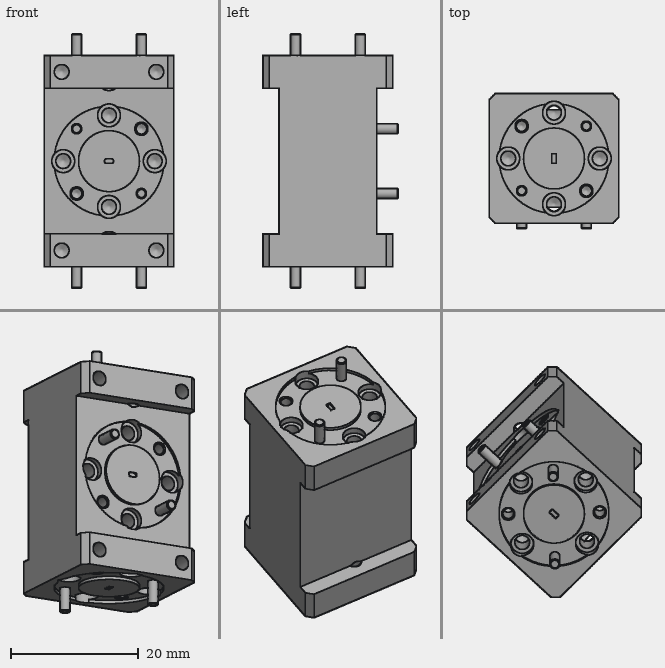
import cadquery as cq
import math

TOTAL_HEIGHT = 39.75
WIDTH = 20.3
PIN_PROTRUSION = 3.35
FLANGE_THICKNESS = 5.15
CORNER_CHAMFER = 1.0
WAIST_DEPTH = 15.3

HOUSING_HEIGHT = TOTAL_HEIGHT - 2 * PIN_PROTRUSION
WAIST_HEIGHT = HOUSING_HEIGHT - 2 * FLANGE_THICKNESS

RING_DIAMETER = 17.17
BOSS_DIAMETER = 9.55
RING_DEPTH = 0.5
BOLT_CIRCLE_RADIUS = 7.15
COUNTERBORE_DIAMETER = 3.58
COUNTERBORE_DEPTH = 1.6
BOLT_HOLE_DIAMETER = 2.3
BOLT_HOLE_DEPTH = 5.13
DRILL_TIP_ANGLE = 118.0
DOWEL_HOLE_DIAMETER = 1.65
DOWEL_HOLE_CHAMFER = 0.2
DOWEL_HOLE_DEPTH = 3.98
WAVEGUIDE_LENGTH = 1.45
WAVEGUIDE_WIDTH = 0.7
WAVEGUIDE_DEPTH = 0.3

PIN_DIAMETER = 1.6
PIN_CHAMFER = 0.15
PIN_EMBEDDED_LENGTH = 3.18

SIDE_HOLE_DIAMETER = 2.3
SIDE_HOLE_DEPTH = 4.77
SIDE_HOLE_X = 7.4

FRONT_PORT = cq.Plane(origin=(0, -WAIST_DEPTH / 2, 0), xDir=(1, 0, 0), normal=(0, -1, 0))
TOP_PORT = cq.Plane(origin=(0, 0, HOUSING_HEIGHT / 2), xDir=(0, 1, 0), normal=(0, 0, 1))
BOTTOM_PORT = cq.Plane(origin=(0, 0, -HOUSING_HEIGHT / 2), xDir=(0, 1, 0), normal=(0, 0, -1))


def on_bolt_circle(angle):
    """Point on the bolt circle at an angle in degrees."""
    return (
        BOLT_CIRCLE_RADIUS * math.cos(math.radians(angle)),
        BOLT_CIRCLE_RADIUS * math.sin(math.radians(angle)),
    )


BOLT_POINTS = [on_bolt_circle(angle) for angle in (0, 90, 180, 270)]
PIN_POINTS = [on_bolt_circle(angle) for angle in (135, 315)]
DOWEL_POINTS = [on_bolt_circle(angle) for angle in (45, 225)]


def drill(diameter, depth):
    """Round hole going down from Z = 0, ending in a conical tip."""
    radius = diameter / 2
    tip_height = radius / math.tan(math.radians(DRILL_TIP_ANGLE / 2))
    return (
        cq.Workplane("XZ")
        .moveTo(0, 0)
        .lineTo(radius, 0)
        .lineTo(radius, -depth)
        .lineTo(0, -depth - tip_height)
        .close()
        .revolve(360, (0, 0), (0, 1))
        .val()
    )


def place(shape, plane, points):
    """Copies of a shape, set at points of a plane."""
    return (
        cq.Workplane(plane)
        .pushPoints(points)
        .eachpoint(lambda location: shape.moved(location), useLocalCoordinates=True, combine=False)
    )


def disc(plane, points, diameter, depth):
    """Flat-bottomed round cutters going into the face of a port."""
    return cq.Workplane(plane).pushPoints(points).circle(diameter / 2).extrude(-depth)


def housing_block():
    """Two chamfered end flanges joined by a waist that is thinner along Y."""
    block = cq.Workplane("XY").box(WIDTH, WIDTH, HOUSING_HEIGHT).edges("|Z").chamfer(CORNER_CHAMFER)
    gap_width = WIDTH - WAIST_DEPTH
    gaps = (
        cq.Workplane("XY")
        .pushPoints([(0, -WIDTH / 2), (0, WIDTH / 2)])
        .box(WIDTH, gap_width, WAIST_HEIGHT)
    )
    return block.cut(gaps)


def cut_port(body, plane, round_opening):
    """Ring recess, bolt holes, dowel holes, pin holes and waveguide opening of one port."""
    ring = (
        cq.Workplane(plane)
        .circle(RING_DIAMETER / 2)
        .circle(BOSS_DIAMETER / 2)
        .extrude(-RING_DEPTH)
    )
    body = body.cut(ring)

    body = body.cut(disc(plane, BOLT_POINTS, COUNTERBORE_DIAMETER, COUNTERBORE_DEPTH))
    body = body.cut(place(drill(BOLT_HOLE_DIAMETER, BOLT_HOLE_DEPTH), plane, BOLT_POINTS))

    body = body.cut(place(drill(DOWEL_HOLE_DIAMETER, DOWEL_HOLE_DEPTH), plane, DOWEL_POINTS))
    countersink = cq.Solid.makeCone(
        DOWEL_HOLE_DIAMETER / 2,
        DOWEL_HOLE_DIAMETER / 2 + DOWEL_HOLE_CHAMFER,
        DOWEL_HOLE_CHAMFER,
        pnt=cq.Vector(0, 0, -RING_DEPTH - DOWEL_HOLE_CHAMFER),
    )
    body = body.cut(place(countersink, plane, DOWEL_POINTS))

    body = body.cut(disc(plane, PIN_POINTS, PIN_DIAMETER, PIN_EMBEDDED_LENGTH))

    opening = cq.Workplane(plane)
    if round_opening:
        opening = opening.slot2D(WAVEGUIDE_LENGTH, WAVEGUIDE_WIDTH)
    else:
        opening = opening.rect(WAVEGUIDE_LENGTH, WAVEGUIDE_WIDTH)
    return body.cut(opening.extrude(-WAVEGUIDE_DEPTH))


def cut_side_holes(body):
    """Blind holes in the -Y side of both end flanges."""
    side = cq.Plane(origin=(0, -WIDTH / 2, 0), xDir=(1, 0, 0), normal=(0, -1, 0))
    flange_middle = (HOUSING_HEIGHT - FLANGE_THICKNESS) / 2
    points = [(x, z) for x in (-SIDE_HOLE_X, SIDE_HOLE_X) for z in (-flange_middle, flange_middle)]
    return body.cut(place(drill(SIDE_HOLE_DIAMETER, SIDE_HOLE_DEPTH), side, points))


def make_pin():
    """Round pin around the Z axis with Z = 0 at the port face and a chamfered outer end."""
    return (
        cq.Workplane("XY")
        .workplane(offset=-PIN_EMBEDDED_LENGTH)
        .circle(PIN_DIAMETER / 2)
        .extrude(PIN_EMBEDDED_LENGTH + PIN_PROTRUSION)
        .faces(">Z")
        .chamfer(PIN_CHAMFER)
        .val()
    )


housing = cut_side_holes(housing_block())
housing = cut_port(housing, FRONT_PORT, round_opening=True)
for plane in (TOP_PORT, BOTTOM_PORT):
    housing = cut_port(housing, plane, round_opening=False)

pins = []
for plane in (FRONT_PORT, TOP_PORT, BOTTOM_PORT):
    pins.extend(place(make_pin(), plane, PIN_POINTS).vals())

result = cq.Compound.makeCompound([housing.val(), *pins])